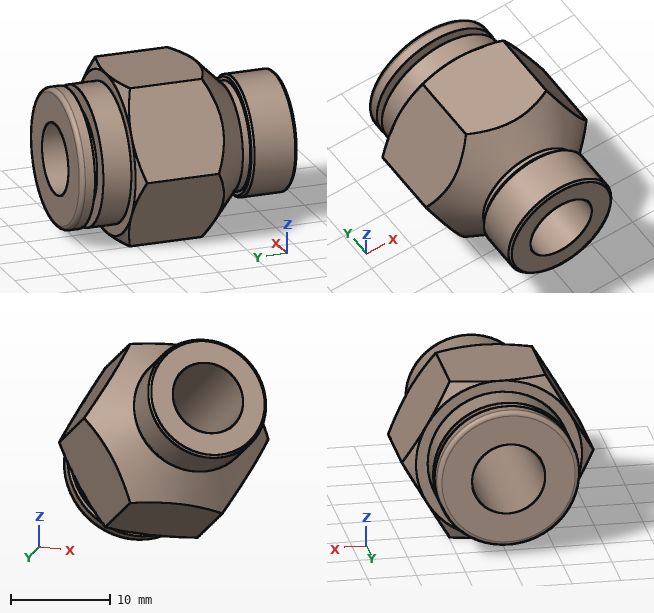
import cadquery as cq
import math

length = 23.7
bore_radius = 3.75

spigot_radius = 6.28
spigot_length = 4.85
spigot_chamfer = 0.24
relief_radius = 5.66
relief_end = 5.65

across_flats = 17.0
across_corners = across_flats / math.cos(math.radians(30))
hex_end = 18.27
hex_chamfer_angle = 30

collar_radius = 7.3
collar_end = 21.28
neck_radius = 5.55
ring_start = 22.18
ring_round = 0.47


def cylinder(radius, start, end):
    """Solid cylinder about the Y axis between two Y positions."""
    face = cq.Workplane("XZ", origin=(0, start, 0)).circle(radius)
    return face.extrude(start - end)


def make_spigot():
    spigot = cylinder(spigot_radius, 0, spigot_length).edges("%CIRCLE").chamfer(spigot_chamfer)
    return spigot.union(cylinder(relief_radius, 0, relief_end))


def make_hex_body():
    prism = (
        cq.Workplane("XZ", origin=(0, relief_end, 0))
        .polygon(6, across_corners)
        .extrude(relief_end - hex_end)
    )
    envelope_radius = across_corners / 2 + 0.24
    cone_end = relief_end + (envelope_radius - relief_radius)
    chamfer_width = envelope_radius - across_flats / 2
    chamfer_start = hex_end - chamfer_width * math.tan(math.radians(hex_chamfer_angle))
    envelope = (
        cq.Workplane("XY")
        .moveTo(0, relief_end)
        .lineTo(relief_radius, relief_end)
        .lineTo(envelope_radius, cone_end)
        .lineTo(envelope_radius, chamfer_start)
        .lineTo(across_flats / 2, hex_end)
        .lineTo(0, hex_end)
        .close()
        .revolve(360, (0, 0, 0), (0, 1, 0))
    )
    return prism.intersect(envelope)


def make_rear_end():
    collar = cylinder(collar_radius, hex_end, collar_end)
    neck = cylinder(neck_radius, hex_end, length)
    ring = cylinder(collar_radius, ring_start, length).faces(">Y").edges().fillet(ring_round)
    return collar.union(neck).union(ring)


bore = cylinder(bore_radius, 0, length)
result = make_spigot().union(make_hex_body()).union(make_rear_end()).cut(bore)